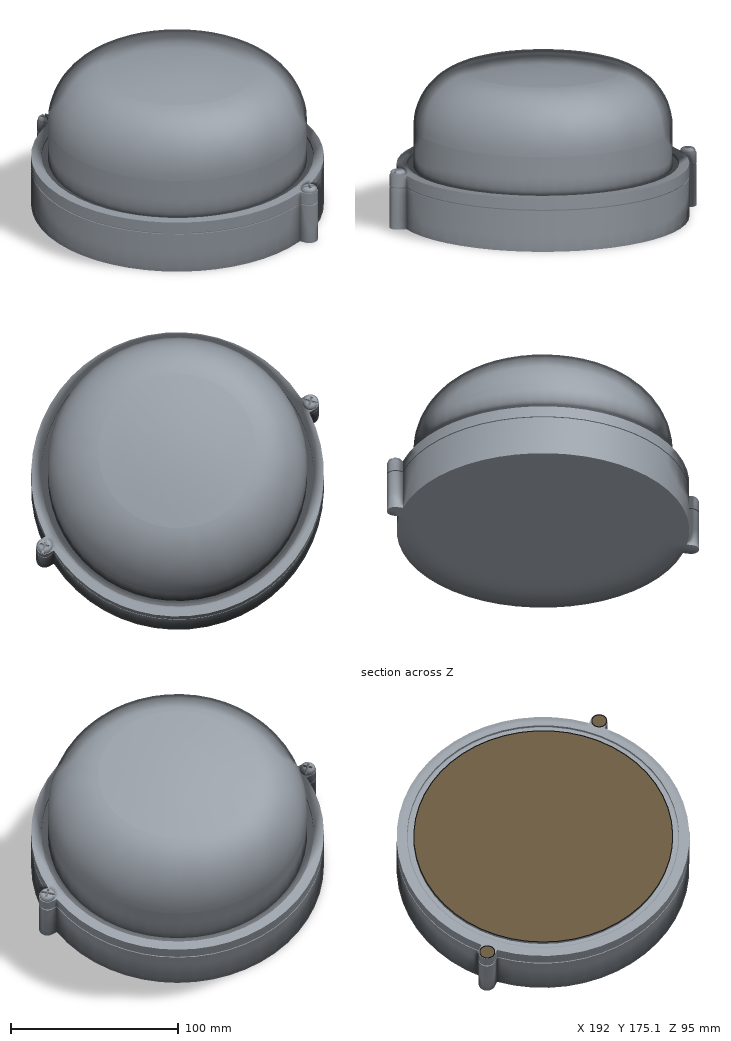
import cadquery as cq
import math

overall_length = 192.0
body_diameter = 175.1
rim_top = 33.0
joint_bottom = 25.2
joint_height = 0.8
joint_depth = 0.8

recess_diameter = 162.8
recess_depth = 1.7
dome_diameter = 155.1
dome_wall_top = 55.9
overall_height = 95.0
cap_radius = 47.5
cap_edge_height = 91.2

lug_radius = 5.0
lug_center = overall_length / 2 - lug_radius

head_radius = 4.6
head_wall = 0.5
head_height = 2.9
head_flat_radius = 2.5
slot_width = 1.3
slot_depth = 2.0
short_slot_length = 5.8


def housing_layer(bottom, height, inset=0.0):
    """Round body and both lugs over one height range, shrunk sideways by inset."""
    disc = cq.Workplane("XY").circle(body_diameter / 2 - inset).extrude(height)
    lug_bar = cq.Workplane("XY").slot2D(overall_length - 2 * inset, 2 * (lug_radius - inset)).extrude(height)
    return disc.union(lug_bar).translate((0, 0, bottom))


def make_housing():
    """Base and rim with a narrow joint groove between them, and the recess around the dome."""
    joint_top = joint_bottom + joint_height
    base = housing_layer(0, joint_bottom)
    joint = housing_layer(joint_bottom, joint_height, joint_depth)
    rim = housing_layer(joint_top, rim_top - joint_top)
    recess = (
        cq.Workplane("XY")
        .workplane(offset=rim_top - recess_depth)
        .circle(recess_diameter / 2)
        .extrude(recess_depth)
    )
    return base.union(joint).union(rim).cut(recess)


def make_dome():
    """Straight wall, large rounded shoulder and shallow spherical cap, revolved about Z."""
    wall_radius = dome_diameter / 2
    cap_rise = overall_height - cap_edge_height
    cap_sphere_radius = (cap_radius**2 + cap_rise**2) / (2 * cap_rise)
    half_angle = math.asin(cap_radius / cap_sphere_radius) / 2
    cap_middle = (
        cap_sphere_radius * math.sin(half_angle),
        overall_height - cap_sphere_radius * (1 - math.cos(half_angle)),
    )
    profile = (
        cq.Workplane("XZ")
        .lineTo(wall_radius, 0)
        .lineTo(wall_radius, dome_wall_top)
        .tangentArcPoint((cap_radius, cap_edge_height), relative=False)
        .threePointArc(cap_middle, (0, overall_height))
        .close()
    )
    return profile.revolve(360, (0, 0), (0, 1))


def make_slot(length, angle):
    """Cutter for one slot down from the top of a screw head, turned by angle from X."""
    return (
        cq.Workplane("XY")
        .workplane(offset=head_height - slot_depth)
        .transformed(rotate=(0, 0, angle))
        .rect(length, slot_width)
        .extrude(slot_depth)
    )


def make_screw_head():
    """Rounded head standing on Z = 0: one slot runs right across, the crossing one is shorter."""
    shoulder_rise = (head_height - head_wall) * math.sqrt(0.5)
    shoulder_width = (head_radius - head_flat_radius) * math.sqrt(0.5)
    head = (
        cq.Workplane("XZ")
        .lineTo(head_radius, 0)
        .lineTo(head_radius, head_wall)
        .threePointArc(
            (head_flat_radius + shoulder_width, head_wall + shoulder_rise),
            (head_flat_radius, head_height),
        )
        .lineTo(0, head_height)
        .close()
        .revolve(360, (0, 0), (0, 1))
    )
    long_slot = make_slot(2 * head_radius, -45)
    short_slot = make_slot(short_slot_length, 45)
    return head.cut(long_slot).cut(short_slot)


left_screw = make_screw_head().translate((-lug_center, 0, rim_top))
right_screw = left_screw.mirror("YZ")
result = make_housing().union(make_dome()).union(left_screw).union(right_screw)